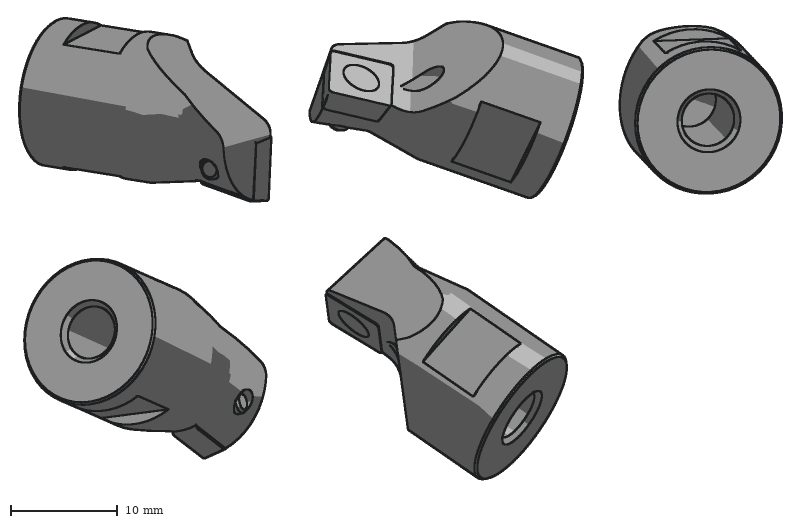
import cadquery as cq
import math

shank_radius = 7.0
shank_length = 11.45
rear_chamfer = 0.2
flat_start = 3.0
flat_length = 6.0
flat_height = 6.0
bore_radius = 2.5
bore_depth = 10.0
bore_mouth_chamfer = 0.5
drill_half_angle = 59.0

tip_x = 23.0
cone_angle = 10.0
waist_x = 16.8
waist_fillet = 1.0

top_slope = 29.6
top_slope_start_x = 10.6
top_nose_radius = 1.65

insert_lean = 5.0
insert_circle = 6.35
insert_point_angle = 80.0
insert_thickness = 2.38
insert_relief = 7.0
insert_corner_radius = 0.4
nose_z = -7.38

floor_drop = 0.1
pocket_wall_angle = 45.0
pocket_corner_x = 14.65
pocket_fillet = 3.0
front_setback = 0.1
front_x = tip_x - front_setback

screw_radius = 1.05
screw_head_radius = 1.8
screw_head_half_angle = 30.0
screw_length = 6.05
screw_end_chamfer = 0.28

coolant_radius = 1.2
coolant_start = (9.0, 1.5, 0.7)
coolant_angle = 28.0
coolant_length = 9.0

clearance = 30.0


def tan_deg(angle):
    return math.tan(math.radians(angle))


def cos_deg(angle):
    return math.cos(math.radians(angle))


def sin_deg(angle):
    return math.sin(math.radians(angle))


edge_angle = 90.0 - insert_point_angle
nose_gap = insert_corner_radius * (tan_deg(edge_angle) + 1 / cos_deg(edge_angle) - 1)
insert_plane = cq.Plane(
    origin=(tip_x, 0, nose_z - nose_gap),
    xDir=(-1, 0, 0),
    normal=(0, cos_deg(insert_lean), -sin_deg(insert_lean)),
)
insert_edge = insert_circle / sin_deg(insert_point_angle)
insert_run = insert_edge * cos_deg(edge_angle)
insert_rise = insert_edge * sin_deg(edge_angle)
insert_center = (insert_run / 2, (insert_edge + insert_rise) / 2)


def revolve_about_x(profile):
    return cq.Workplane("XY").polyline(profile).close().revolve(360, (0, 0, 0), (1, 0, 0))


def turned_blank():
    waist_radius = shank_radius - (waist_x - shank_length) * tan_deg(cone_angle)
    tip_radius = waist_radius + (tip_x - waist_x) * tan_deg(cone_angle)
    profile = [
        (0, 0),
        (0, shank_radius - rear_chamfer),
        (rear_chamfer, shank_radius),
        (shank_length, shank_radius),
        (waist_x, waist_radius),
        (tip_x, tip_radius),
        (tip_x, 0),
    ]
    blank = revolve_about_x(profile)
    waist_edge = cq.selectors.RadiusNthSelector(0)
    return blank.edges("%CIRCLE").edges(waist_edge).fillet(waist_fillet)


def wrench_flats():
    block = (
        cq.Workplane("XY")
        .workplane(offset=flat_height)
        .center(flat_start + flat_length / 2, 0)
        .rect(flat_length, clearance)
        .extrude(clearance)
    )
    return block.union(block.mirror("XY"))


def bore():
    profile = [
        (0, 0),
        (0, bore_radius + bore_mouth_chamfer),
        (bore_mouth_chamfer, bore_radius),
        (bore_depth, bore_radius),
        (bore_depth + bore_radius / tan_deg(drill_half_angle), 0),
    ]
    return revolve_about_x(profile)


def head_envelope():
    """Space under the sloped top and behind the front face, with their shared edge rounded."""
    top_at_front = shank_radius - (front_x - top_slope_start_x) * tan_deg(top_slope)
    top_at_rear = shank_radius + top_slope_start_x * tan_deg(top_slope)
    outline = [
        (0, -clearance),
        (0, top_at_rear),
        (clearance, shank_radius - (clearance - top_slope_start_x) * tan_deg(top_slope)),
        (clearance, -clearance),
    ]
    under_slope = cq.Workplane("XZ").polyline(outline).close().extrude(clearance, both=True)
    front_shift = clearance * tan_deg(insert_relief)
    front_outline = [
        (-clearance, -clearance),
        (front_x - front_shift, -clearance),
        (front_x + front_shift, clearance),
        (-clearance, clearance),
    ]
    behind_front = cq.Workplane("XY").polyline(front_outline).close().extrude(clearance, both=True)
    nose_edge = cq.selectors.NearestToPointSelector((front_x, 0, top_at_front))
    return under_slope.intersect(behind_front).edges(nose_edge).fillet(top_nose_radius)


def chip_pocket():
    """Floor parallel to the insert face, rounded into a wall that runs out at an angle."""
    pocket_plane = cq.Plane(
        origin=insert_plane.origin,
        xDir=insert_plane.xDir,
        normal=-insert_plane.yDir,
    )
    corner = (tip_x - pocket_corner_x, -floor_drop)
    wall_top = corner[1] + clearance * tan_deg(pocket_wall_angle)
    outline = [
        corner,
        (corner[0] + clearance, wall_top),
        (-clearance, wall_top),
        (-clearance, -floor_drop),
    ]
    pocket = cq.Workplane(pocket_plane).polyline(outline).close().extrude(clearance, both=True)
    corner_edge = cq.selectors.NearestToPointSelector(pocket_plane.toWorldCoords(corner).toTuple())
    return pocket.edges(corner_edge).fillet(pocket_fillet)


def coolant_hole():
    direction = (cos_deg(coolant_angle), 0, -sin_deg(coolant_angle))
    start_plane = cq.Plane(origin=coolant_start, xDir=(0, 1, 0), normal=direction)
    return cq.Workplane(start_plane).circle(coolant_radius).extrude(coolant_length)


def build_insert_plate():
    """Rhombic plate, full thickness, with relieved sides and rounded corners but no screw hole."""
    rhombus = [
        (0, 0),
        (insert_run, insert_rise),
        (insert_run, insert_rise + insert_edge),
        (0, insert_edge),
    ]
    plate = cq.Workplane(insert_plane).polyline(rhombus).close()
    plate = plate.extrude(-insert_thickness, taper=insert_relief)
    face_edges = cq.selectors.PerpendicularDirSelector(insert_plane.zDir)
    side_edges = cq.selectors.InverseSelector(face_edges)
    return plate.edges(side_edges).fillet(insert_corner_radius)


def screw_plane():
    """Plane through the screw axis, with its y along the axis and out of the insert face."""
    return cq.Plane(
        origin=insert_plane.toWorldCoords(insert_center),
        xDir=insert_plane.xDir,
        normal=-insert_plane.yDir,
    )


def build_screw():
    head_height = (screw_head_radius - screw_radius) / tan_deg(screw_head_half_angle)
    profile = [
        (0, 0),
        (screw_head_radius, 0),
        (screw_radius, -head_height),
        (screw_radius, screw_end_chamfer - screw_length),
        (screw_radius - screw_end_chamfer, -screw_length),
        (0, -screw_length),
    ]
    return cq.Workplane(screw_plane()).polyline(profile).close().revolve(360, (0, 0, 0), (0, 1, 0))


def screw_hole():
    return cq.Workplane(screw_plane()).transformed(rotate=(90, 0, 0)).circle(screw_radius).extrude(clearance)


insert_plate = build_insert_plate()
screw = build_screw()
insert = insert_plate.cut(screw)
holder = (
    turned_blank()
    .intersect(head_envelope())
    .cut(wrench_flats())
    .cut(bore())
    .cut(chip_pocket())
    .cut(coolant_hole())
    .cut(insert_plate)
    .cut(screw_hole())
    .cut(screw)
)

result = cq.Compound.makeCompound([holder.solids().val(), insert.solids().val(), screw.val()])